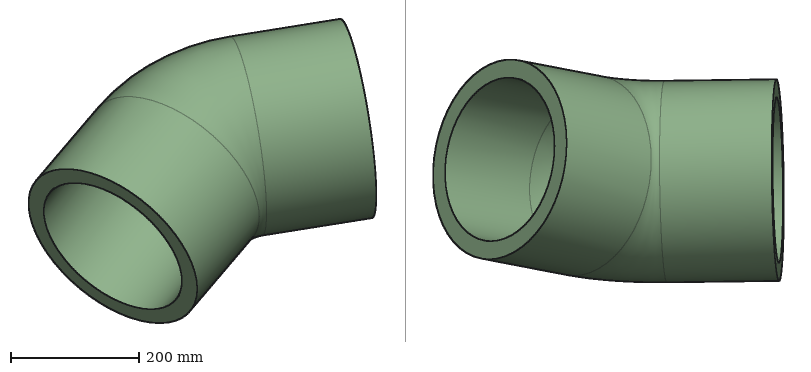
import cadquery as cq
import math

outer_diameter = 315.0
bore_diameter = 258.0
stub_length = 175.5
bend_radius = 175.5
bend_angle = 45

bend_radians = math.radians(bend_angle)
bend_end = cq.Vector(
    bend_radius * (1 - math.cos(bend_radians)),
    bend_radius * math.sin(bend_radians),
    0,
)
outlet_direction = cq.Vector(math.sin(bend_radians), math.cos(bend_radians), 0)

inlet_plane = cq.Plane(origin=(0, -stub_length, 0), xDir=(1, 0, 0), normal=(0, 1, 0))
bend_plane = cq.Plane(origin=(0, 0, 0), xDir=(1, 0, 0), normal=(0, 1, 0))
outlet_plane = cq.Plane(origin=bend_end, xDir=(0, 0, 1), normal=outlet_direction)


def ring(plane):
    """Pipe cross-section centred on the given plane."""
    return cq.Workplane(plane).circle(outer_diameter / 2).circle(bore_diameter / 2)


inlet_stub = ring(inlet_plane).extrude(stub_length)
outlet_stub = ring(outlet_plane).extrude(stub_length)

axis_start = (bend_radius, 0)
axis_end = (bend_radius, 1)
bend = ring(bend_plane).revolve(bend_angle, axis_start, axis_end)

result = inlet_stub.union(bend).union(outlet_stub)